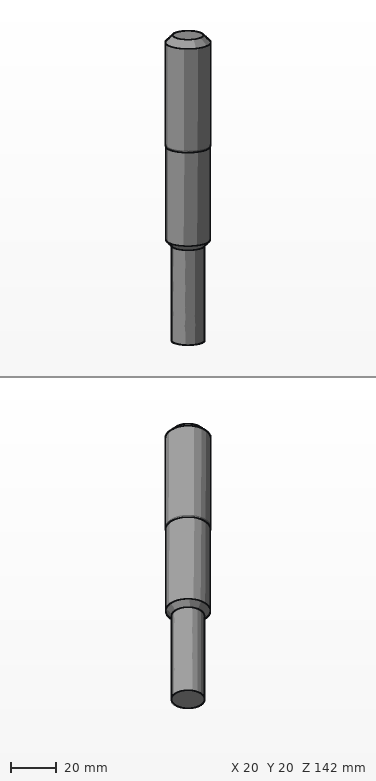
import cadquery as cq

total_length = 142.0
shank_diameter = 20.0
body_diameter = 19.6
neck_diameter = 14.5
tip_diameter = 14.6

point_height = 2.3
shoulder_bottom = 45.7
shoulder_height = 2.7
shank_bottom = 91.2

shank_chamfer = 3.3
shank_taper_height = 0.9

shank_radius = shank_diameter / 2
body_radius = body_diameter / 2
neck_radius = neck_diameter / 2
tip_radius = tip_diameter / 2


def revolve_profile(points):
    """Revolve a closed (radius, height) outline about the Z axis."""
    return cq.Workplane("XZ").polyline(points).close().revolve(360, (0, 0), (0, 1))


def make_shank():
    """Plain cylinder with a chamfered top end and a short taper down to the body diameter."""
    return revolve_profile([
        (0, shank_bottom),
        (body_radius, shank_bottom),
        (shank_radius, shank_bottom + shank_taper_height),
        (shank_radius, total_length - shank_chamfer),
        (shank_radius - shank_chamfer, total_length),
        (0, total_length),
    ])


def make_step_drill():
    """Cutting body: conical point, slightly back-tapered neck, conical shoulder and main body."""
    shoulder_top = shoulder_bottom + shoulder_height
    return revolve_profile([
        (0, 0),
        (tip_radius, point_height),
        (neck_radius, shoulder_bottom),
        (body_radius, shoulder_top),
        (body_radius, shank_bottom),
        (0, shank_bottom),
    ])


shank = make_shank()
step_drill = make_step_drill()

result = cq.Compound.makeCompound([shank.val(), step_drill.val()])